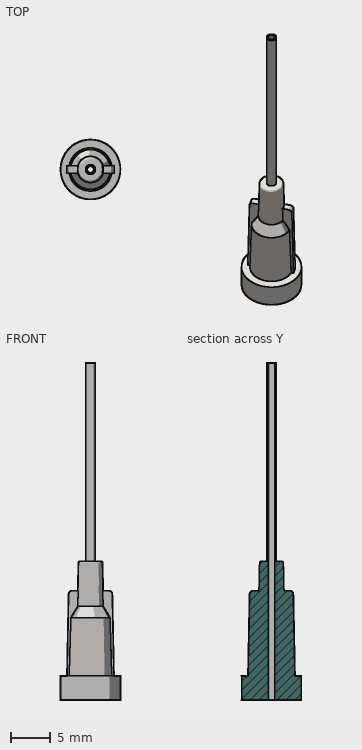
import cadquery as cq

total_height = 43.2
needle_diameter = 1.25
bore_diameter = 0.8

collar_diameter = 7.7
collar_height = 3.1

body_bottom_radius = 2.75
body_top_radius = 2.55
shoulder_bottom_z = 10.55
shoulder_top_z = 12.0
neck_bottom_radius = 1.7
neck_top_radius = 1.55
neck_top_z = 17.8
neck_edge_fillet = 0.25

fin_thickness = 0.9
fin_bottom_reach = 3.02
fin_top_reach = 2.8
fin_top_z = 14.05
fin_corner_fillet = 0.5


def cylinder(diameter, height):
    return cq.Workplane("XY").circle(diameter / 2).extrude(height)


def make_hub():
    """Revolve the tapered body, shoulder and neck, then round the neck rim."""
    hub = (
        cq.Workplane("XZ")
        .lineTo(body_bottom_radius, 0)
        .lineTo(body_bottom_radius, collar_height)
        .lineTo(body_top_radius, shoulder_bottom_z)
        .lineTo(neck_bottom_radius, shoulder_top_z)
        .lineTo(neck_top_radius, neck_top_z)
        .lineTo(0, neck_top_z)
        .close()
        .revolve(360, (0, 0, 0), (0, 1, 0))
    )
    return hub.faces(">Z").edges().fillet(neck_edge_fillet)


def make_fins():
    """One tapered plate through the hub gives both fins."""
    plate = (
        cq.Workplane("XZ")
        .moveTo(-fin_bottom_reach, collar_height)
        .lineTo(fin_bottom_reach, collar_height)
        .lineTo(fin_top_reach, fin_top_z)
        .lineTo(-fin_top_reach, fin_top_z)
        .close()
        .extrude(fin_thickness / 2, both=True)
    )
    return plate.faces(">Z").edges("|Y").fillet(fin_corner_fillet)


collar = cylinder(collar_diameter, collar_height)
needle = cylinder(needle_diameter, total_height)
bore = cylinder(bore_diameter, total_height)

result = collar.union(make_hub()).union(make_fins()).union(needle).cut(bore)